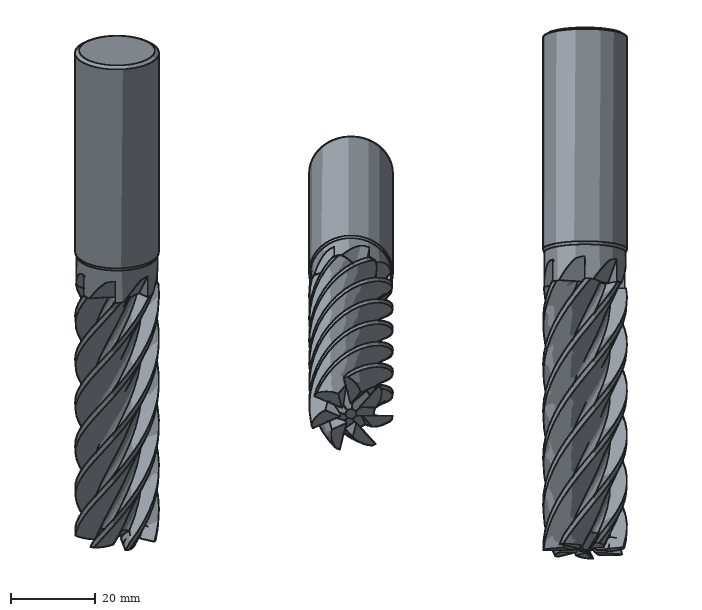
import cadquery as cq
import math

total_length = 125.0
shank_radius = 10.0
shank_start = 73.0
top_chamfer_width = 1.0
top_chamfer_height = 0.6
neck_radius = 9.69
neck_bevel_height = 0.8
cutting_length = 64.0

tooth_count = 7
tooth_pitch = 360 / tooth_count
helix_lead = 77.6
head_twist = 360 * cutting_length / helix_lead
top_edge_angle = -89.0
bottom_edge_angle = top_edge_angle - head_twist

cutting_radius = shank_radius
land_end_radius, land_end_angle = 9.9, 8.5
back_middle_radius, back_middle_angle = 8.2, 21.0
floor_start_radius, floor_start_angle = 6.0, 36.0
floor_middle_radius, floor_middle_angle = 5.6, 47.0
rake_foot_radius, rake_foot_angle = 6.0, 57.0

runout_height = 5.4
runout_top_width = 2.1
runout_bottom_width = 15.0
runout_corner_radius = 0.6
runout_tilt = 60.0

gash_height = 3.6
gash_top_front, gash_top_back = 0.2, 2.5
gash_bottom_front, gash_bottom_back = -1.8, 0.5
gash_inner_radius = 1.2
gash_full_radius = 6.0
gash_corner_radius = 0.6

cutter_reach = cutting_radius + 2.5


def polar(radius, angle):
    """Point at a radius and an angle in degrees."""
    turn = math.radians(angle)
    return radius * math.cos(turn), radius * math.sin(turn)


def add_flute_wall(outline, edge_angle):
    """Back of one tooth and flute floor, from the end of its land to the next rake face."""
    return (
        outline
        .threePointArc(
            polar(back_middle_radius, edge_angle + back_middle_angle),
            polar(floor_start_radius, edge_angle + floor_start_angle),
        )
        .threePointArc(
            polar(floor_middle_radius, edge_angle + floor_middle_angle),
            polar(rake_foot_radius, edge_angle + rake_foot_angle),
        )
        .lineTo(*polar(cutting_radius, edge_angle + tooth_pitch))
    )


def make_fluted_blank():
    """Seven-tooth section twisted along the cutting length."""
    outline = cq.Workplane("XY").moveTo(*polar(cutting_radius, bottom_edge_angle))
    for tooth in range(tooth_count):
        edge_angle = bottom_edge_angle + tooth * tooth_pitch
        outline = outline.lineTo(*polar(land_end_radius, edge_angle + land_end_angle))
        outline = add_flute_wall(outline, edge_angle)
    return outline.close().twistExtrude(cutting_length, head_twist)


def make_gash():
    """Rounded slot along +X that leans with the helix and fades out towards the axis."""
    slot = (
        cq.Workplane("YZ")
        .moveTo(gash_bottom_back, 0)
        .lineTo(gash_top_back, gash_height)
        .lineTo(gash_top_front, gash_height)
        .lineTo(gash_bottom_front, 0)
        .close()
        .extrude(cutter_reach)
        .edges("|X and >Z")
        .fillet(gash_corner_radius)
    )
    fade = (
        cq.Workplane("XZ")
        .moveTo(gash_inner_radius, 0)
        .lineTo(gash_full_radius, gash_height)
        .lineTo(cutter_reach, gash_height)
        .lineTo(cutter_reach, 0)
        .close()
        .extrude(cutter_reach, both=True)
    )
    return slot.intersect(fade)


def make_holder_blank():
    """Shank with a chamfered top and a slightly thinner neck."""
    return (
        cq.Workplane("XZ")
        .moveTo(0, cutting_length)
        .lineTo(neck_radius, cutting_length)
        .lineTo(neck_radius, shank_start - neck_bevel_height)
        .lineTo(shank_radius, shank_start)
        .lineTo(shank_radius, total_length - top_chamfer_height)
        .lineTo(shank_radius - top_chamfer_width, total_length)
        .lineTo(0, total_length)
        .close()
        .revolve(360, (0, 0, 0), (0, 1, 0))
    )


def make_runout():
    """Straight end of one flute, with its rake edge along +X, on a ramp that rises outward."""
    flute = (
        cq.Workplane("XY", origin=(0, 0, cutting_length))
        .moveTo(*polar(land_end_radius, land_end_angle - tooth_pitch))
    )
    flute = (
        add_flute_wall(flute, -tooth_pitch)
        .lineTo(cutter_reach, 0)
        .lineTo(*polar(cutter_reach, land_end_angle - tooth_pitch))
        .close()
        .extrude(runout_height)
    )
    ramp_height = runout_height * math.cos(math.radians(runout_tilt))
    ramp = (
        cq.Workplane("YZ", origin=(-cutter_reach, 0, 0))
        .moveTo(runout_top_width, -cutter_reach)
        .lineTo(runout_top_width, ramp_height)
        .lineTo(-runout_top_width, ramp_height)
        .lineTo(-runout_bottom_width, 0)
        .lineTo(-runout_bottom_width, -cutter_reach)
        .close()
        .extrude(2 * cutter_reach)
        .edges("|X and >Z")
        .edges("<Y")
        .fillet(runout_corner_radius)
        .rotate((0, 0, 0), (0, 1, 0), -runout_tilt)
        .translate((neck_radius, 0, cutting_length))
    )
    return flute.intersect(ramp)


def cut_at_every_tooth(blank, cutter, first_angle):
    """Cut copies of one cutter, the first at the given angle and the rest one tooth pitch apart."""
    cutters = [
        cutter.val().rotate(cq.Vector(0, 0, 0), cq.Vector(0, 0, 1), first_angle + tooth * tooth_pitch)
        for tooth in range(tooth_count)
    ]
    return cq.Workplane(blank.val().cut(*cutters).Solids()[0])


head = cut_at_every_tooth(make_fluted_blank(), make_gash(), bottom_edge_angle)
holder = cut_at_every_tooth(make_holder_blank(), make_runout(), top_edge_angle)

result = cq.Compound.makeCompound([head.val(), holder.val()])